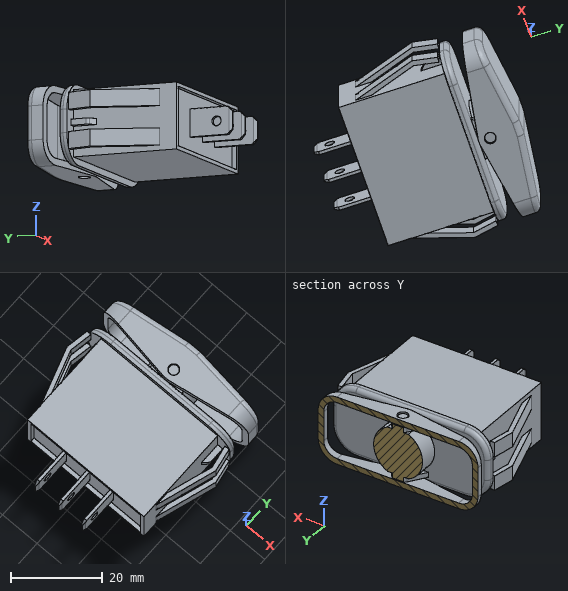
import cadquery as cq
import math


flange_length = 41.05
flange_width = 17.95
flange_thickness = 2.0
flange_corner_radius = 6.35
flange_edge_fillet = 1.1

body_length = 33.85
body_width = 14.95
body_depth = 24.6
recess_length = 31.75
recess_width = 13.25
recess_depth = 1.05

clip_width = 3.8
clip_offset_z = 4.4
clip_tip_x = 20.62
clip_bend_x = 21.65
clip_bend_y = -6.02
clip_tip_y = -0.45
clip_root_y = -20.6
clip_inner_root_y = -16.9
clip_thickness = 1.2

rib_width = 1.35
rib_height = 1.45
rib_length = 5.48
rib_corner_radius = 0.9

terminal_pitch = 6.8
terminal_thickness = 0.78
terminal_width = 6.25
terminal_length = 9.05
terminal_corner_chamfer = 1.15
terminal_tip_length = 0.78
terminal_tip_thickness = 0.3
terminal_hole_diameter = 2.15
terminal_hole_from_tip = 3.75

pivot_y = 4.8
pivot_hole_diameter = 2.6
pivot_pin_diameter = 2.4
pivot_pin_recess = 0.4

tower_diameter = 12.95
tower_width = 11.75
ear_span = 14.35
ear_round_diameter = 4.9
ear_base_half_length = 4.95

rocker_length = 42.05
rocker_width = 17.75
rocker_corner_radius = 5.05
rocker_wall = 1.6
rocker_top_thickness = 1.6
rocker_edge_fillet = 1.5
crest_y = 12.0
crest_half_length = 1.75
end_top_y = 9.55
end_bottom_y = 5.48
keel_y = 2.15
keel_half_length = 0.6

half_body = body_length / 2
half_rocker = rocker_length / 2
ear_radius = ear_round_diameter / 2

match_tolerance = 0.005


def prism(points, width):
    """Extrude an XY outline symmetrically about Z = 0."""
    return cq.Workplane("XY").polyline(points).close().extrude(width / 2, both=True)


def rounded_plate(length, width, corner_radius, y_low, y_high):
    """Rectangle in XZ with rounded corners, spanning y_low to y_high."""
    plate = cq.Workplane("XY").box(length, y_high - y_low, width).edges("|Y").fillet(corner_radius)
    return plate.translate((0, (y_low + y_high) / 2, 0))


def pivot_rod(diameter, length):
    """Cylinder along Z on the pivot axis."""
    return cq.Workplane("XY").center(0, pivot_y).circle(diameter / 2).extrude(length / 2, both=True)


def both_ends(feature):
    """A feature on the -X end together with its mirror image on the +X end."""
    return feature.union(feature.mirror("YZ"))


def make_flange():
    flange = rounded_plate(flange_length, flange_width, flange_corner_radius, 0, flange_thickness)
    return flange.faces(">Y").edges().fillet(flange_edge_fillet)


def make_body():
    body = cq.Workplane("XY").box(body_length, body_depth, body_width).translate((0, -body_depth / 2, 0))
    recess = cq.Workplane("XY").box(recess_length, recess_depth, recess_width)
    return body.cut(recess.translate((0, -body_depth + recess_depth / 2, 0)))


def make_clip():
    outline = [
        (-half_body, clip_root_y),
        (-clip_bend_x, clip_bend_y),
        (-clip_tip_x, clip_tip_y),
        (-clip_tip_x + clip_thickness, clip_tip_y),
        (-clip_bend_x + clip_thickness, clip_bend_y),
        (-half_body, clip_inner_root_y),
    ]
    return prism(outline, clip_width)


def make_rib():
    rib_x = half_body + rib_height
    outline = [
        (-half_body, 0),
        (-rib_x, 0),
        (-rib_x, -rib_length + rib_height),
        (-half_body, -rib_length),
    ]
    rib = prism(outline, rib_width)
    bend = cq.selectors.NearestToPointSelector((-rib_x, -rib_length + rib_height, 0))
    return rib.edges("|Z").edges(bend).fillet(rib_corner_radius)


def make_terminal():
    """Flat blade with its root on the recess floor, chamfered at the tip and pierced along X."""
    tip_y = -body_depth - terminal_length
    root_y = -body_depth + recess_depth
    half_width = terminal_width / 2
    half_thickness = terminal_thickness / 2
    blade = (
        cq.Workplane("YZ")
        .polyline([
            (root_y, -half_width),
            (root_y, half_width),
            (tip_y + terminal_corner_chamfer, half_width),
            (tip_y, half_width - terminal_corner_chamfer),
            (tip_y, -half_width + terminal_corner_chamfer),
            (tip_y + terminal_corner_chamfer, -half_width),
        ])
        .close()
        .extrude(half_thickness, both=True)
    )
    tapered = prism(
        [
            (-half_thickness, root_y),
            (-half_thickness, tip_y + terminal_tip_length),
            (-terminal_tip_thickness / 2, tip_y),
            (terminal_tip_thickness / 2, tip_y),
            (half_thickness, tip_y + terminal_tip_length),
            (half_thickness, root_y),
        ],
        terminal_width,
    )
    hole = (
        cq.Workplane("YZ")
        .center(tip_y + terminal_hole_from_tip, 0)
        .circle(terminal_hole_diameter / 2)
        .extrude(terminal_thickness, both=True)
    )
    return blade.intersect(tapered).cut(hole)


def make_tower():
    """Round core with flat sides, the ears with flanks tangent to their round tops, and the pivot pin."""
    tower_top_y = pivot_y + ear_radius
    core_height = tower_top_y - flange_thickness
    core = cq.Workplane("XZ", origin=(0, flange_thickness, 0)).circle(tower_diameter / 2).extrude(-core_height)
    core = core.intersect(cq.Workplane("XY").box(tower_diameter, 2 * tower_top_y, tower_width))

    base_drop = pivot_y - flange_thickness
    base_distance = math.hypot(ear_base_half_length, base_drop)
    flank_angle = math.acos(ear_radius / base_distance) - math.atan2(base_drop, ear_base_half_length)
    tangent_x = ear_radius * math.cos(flank_angle)
    tangent_y = pivot_y + ear_radius * math.sin(flank_angle)
    ears = (
        cq.Workplane("XY")
        .moveTo(-ear_base_half_length, flange_thickness)
        .lineTo(-tangent_x, tangent_y)
        .threePointArc((0, tower_top_y), (tangent_x, tangent_y))
        .lineTo(ear_base_half_length, flange_thickness)
        .close()
        .extrude((ear_span - tower_width) / 2)
        .translate((0, 0, tower_width / 2))
    )
    ears = ears.union(ears.mirror("XY"))
    pin = pivot_rod(pivot_pin_diameter, rocker_width - 2 * pivot_pin_recess)
    return core.union(ears).union(pin)


def make_housing():
    housing = make_flange().union(make_body()).union(make_tower()).union(both_ends(make_rib()))
    clips = both_ends(make_clip())
    for side in (-1, 1):
        housing = housing.union(clips.translate((0, 0, side * clip_offset_z)))
    for position in (-1, 0, 1):
        housing = housing.union(make_terminal().translate((position * terminal_pitch, 0, 0)))
    return housing


def make_rocker():
    """Hollow hip-shaped cap, open toward the flange, with the pivot hole across its side walls."""
    upper = [
        (half_rocker, end_top_y),
        (crest_half_length, crest_y),
        (-crest_half_length, crest_y),
        (-half_rocker, end_top_y),
    ]
    lower = [
        (-half_rocker, end_bottom_y),
        (-keel_half_length, keel_y),
        (keel_half_length, keel_y),
        (half_rocker, end_bottom_y),
    ]
    plan = rounded_plate(rocker_length, rocker_width, rocker_corner_radius, 0, crest_y)
    shell = prism(upper + lower, rocker_width).intersect(plan)

    def on_top_rim(edge):
        center = edge.Center()
        on_crest_line = math.isclose(abs(center.x), crest_half_length, abs_tol=match_tolerance)
        return center.y > end_top_y - match_tolerance and not on_crest_line

    shell = shell.edges().filter(on_top_rim).fillet(rocker_edge_fillet)

    ceiling = [(x, y - rocker_top_thickness) for x, y in upper]
    cavity = prism(ceiling + [(-half_rocker, 0), (half_rocker, 0)], rocker_width).intersect(
        rounded_plate(
            rocker_length - 2 * rocker_wall,
            rocker_width - 2 * rocker_wall,
            rocker_corner_radius - rocker_wall,
            0,
            crest_y,
        )
    )
    return shell.cut(cavity).cut(pivot_rod(pivot_hole_diameter, rocker_width))


housing = make_housing()
rocker = make_rocker()
result = cq.Compound.makeCompound([housing.val(), rocker.val()])